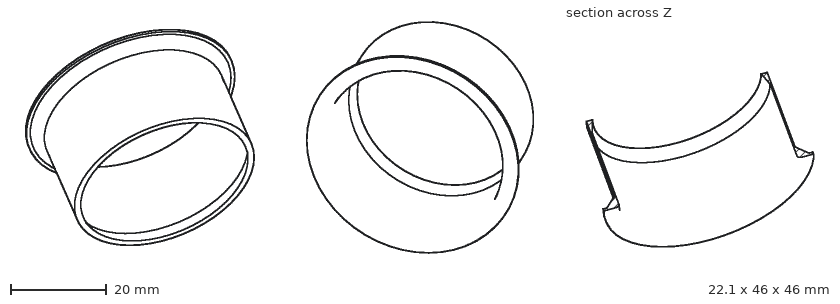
import cadquery as cq

length = 22.1
flange_diameter = 46.0
flange_thickness = 0.6
tube_diameter = 39.7
bore_diameter = 38.9
outlet_diameter = 36.9
outlet_length = 3.0
collar_length = 2.3
mouth_radius = 0.8

flange_radius = flange_diameter / 2
tube_radius = tube_diameter / 2
bore_radius = bore_diameter / 2
outlet_radius = outlet_diameter / 2
collar_end = flange_thickness + collar_length

body = (
    cq.Workplane("XY")
    .moveTo(0, 0)
    .lineTo(0, flange_radius)
    .lineTo(flange_thickness, flange_radius)
    .lineTo(flange_thickness, tube_radius + collar_length)
    .lineTo(collar_end, tube_radius)
    .lineTo(length, tube_radius)
    .lineTo(length, 0)
    .close()
    .revolve(360, (0, 0, 0), (1, 0, 0))
)

bore = (
    cq.Workplane("XY")
    .moveTo(0, 0)
    .lineTo(0, bore_radius + mouth_radius)
    .radiusArc((mouth_radius, bore_radius), -mouth_radius)
    .lineTo(length - outlet_length, bore_radius)
    .lineTo(length, outlet_radius)
    .lineTo(length, 0)
    .close()
    .revolve(360, (0, 0, 0), (1, 0, 0))
)

result = body.cut(bore)